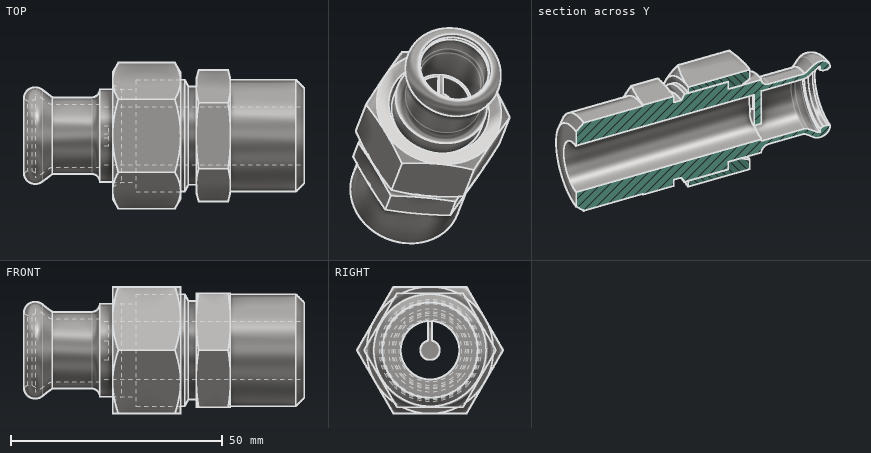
import cadquery as cq
import math


collar_start = 18.0
bore_shoulder = collar_start
nut_start = 21.05
nut_end = 37.1
thread_end = 38.1
hex_start = 40.85
hex_end = 48.95
total_length = 66.4

tube_radius = 9.1
wall = 1.65
tube_bore_radius = tube_radius - wall
bead_centre_radius = 8.75
bead_arc_radius = 2.7
bead_flank_angle = math.radians(37)
bead_rim_angle = math.radians(-90)
flank_blend_radius = 2.0
lip_radius = 8.3
lip_bevel_length = 0.8
lip_width = bead_arc_radius
groove_arc_radius = bead_arc_radius - wall

collar_radius = 11.0
collar_fillet = collar_radius - tube_radius

thread_radius = 13.3
relief_radius = 11.7
relief_slope_end = 39.0
end_chamfer = 2.0
through_bore_radius = 6.9

pin_radius = 2.3
rib_width = 1.0
pin_length = 2.0

nut_flats = 30.0
nut_bevel_angle = 30
body_flats = 27.0
body_bevel_angle = 15

nut_mouth_radius = 12.1
nut_mouth_depth = 2.0
nut_shoulder = 26.55


def revolve_about_x(profile):
    """Turn a closed (x, radius) outline about the X axis."""
    return profile.close().revolve(360, (0, 0, 0), (1, 0, 0))


def cylinder(start, end, radius):
    return cq.Workplane("YZ", origin=(start, 0, 0)).circle(radius).extrude(end - start)


def bevelled_hexagon(start, end, flats, bevel_angle):
    """Hexagonal prism with corners on +Y and -Y, its corners bevelled by a cone at both ends."""
    face_radius = flats / 2
    corner_radius = face_radius / math.cos(math.pi / 6)
    bevel_depth = (corner_radius - face_radius) * math.tan(math.radians(bevel_angle))
    prism = cq.Workplane("YZ", origin=(start, 0, 0)).polygon(6, 2 * corner_radius).extrude(end - start)
    envelope = revolve_about_x(
        cq.Workplane("XY")
        .moveTo(start, 0)
        .lineTo(start, face_radius)
        .lineTo(start + bevel_depth, corner_radius)
        .lineTo(end - bevel_depth, corner_radius)
        .lineTo(end, face_radius)
        .lineTo(end, 0)
    )
    return prism.intersect(envelope)


def bead_point(arc_radius, angle):
    """Point on an arc about the bead centre; the angle runs from the bead's crest toward +X."""
    return (
        bead_arc_radius + arc_radius * math.sin(angle),
        bead_centre_radius + arc_radius * math.cos(angle),
    )


def flank_foot(arc_radius, radius):
    """X where the flank tangent to a bead arc comes down to the given radius."""
    flank_x, flank_radius = bead_point(arc_radius, bead_flank_angle)
    return flank_x + (flank_radius - radius) / math.tan(bead_flank_angle)


def make_turned_body():
    bore_corner = flank_foot(groove_arc_radius, tube_bore_radius)
    blend_reach = flank_blend_radius * math.tan(bead_flank_angle / 2)
    blend_end = bore_corner + blend_reach
    blend_centre_radius = tube_bore_radius + flank_blend_radius

    def blend_point(angle):
        return (
            blend_end - flank_blend_radius * math.sin(angle),
            blend_centre_radius - flank_blend_radius * math.cos(angle),
        )

    fillet_start = collar_start - collar_fillet
    fillet_middle = (
        fillet_start + collar_fillet * math.sin(math.pi / 4),
        collar_radius - collar_fillet * math.cos(math.pi / 4),
    )
    profile = (
        cq.Workplane("XY")
        .moveTo(*bead_point(bead_arc_radius, bead_rim_angle))
        .threePointArc(
            bead_point(bead_arc_radius, 0),
            bead_point(bead_arc_radius, bead_flank_angle),
        )
        .lineTo(flank_foot(bead_arc_radius, tube_radius), tube_radius)
        .lineTo(fillet_start, tube_radius)
        .threePointArc(fillet_middle, (collar_start, collar_radius))
        .lineTo(nut_shoulder, collar_radius)
        .lineTo(nut_shoulder, thread_radius)
        .lineTo(thread_end, thread_radius)
        .lineTo(relief_slope_end, relief_radius)
        .lineTo(hex_end, relief_radius)
        .lineTo(hex_end, thread_radius)
        .lineTo(total_length - end_chamfer, thread_radius)
        .lineTo(total_length, thread_radius - end_chamfer)
        .lineTo(total_length, through_bore_radius)
        .lineTo(bore_shoulder, through_bore_radius)
        .lineTo(bore_shoulder, tube_bore_radius)
        .lineTo(blend_end, tube_bore_radius)
        .threePointArc(blend_point(bead_flank_angle / 2), blend_point(bead_flank_angle))
        .lineTo(*bead_point(groove_arc_radius, bead_flank_angle))
        .threePointArc(
            bead_point(groove_arc_radius, bead_flank_angle / 2),
            bead_point(groove_arc_radius, 0),
        )
        .lineTo(lip_width, bead_centre_radius)
        .lineTo(lip_width - lip_bevel_length, lip_radius)
        .lineTo(lip_bevel_length, lip_radius)
    )
    return revolve_about_x(profile)


def make_stop_pin():
    """Pin on the axis and the rib that hangs it from the top of the bore."""
    pin = cylinder(bore_shoulder, bore_shoulder + pin_length, pin_radius)
    rib_height = (through_bore_radius + tube_bore_radius) / 2
    rib = (
        cq.Workplane("YZ", origin=(bore_shoulder, 0, 0))
        .center(0, rib_height / 2)
        .rect(rib_width, rib_height)
        .extrude(pin_length)
    )
    return pin.union(rib)


def make_fitting():
    body_hexagon = bevelled_hexagon(hex_start, hex_end, body_flats, body_bevel_angle)
    hex_ring = body_hexagon.cut(cylinder(hex_start, hex_end, through_bore_radius))
    return make_turned_body().union(hex_ring).union(make_stop_pin())


def make_nut():
    bore = revolve_about_x(
        cq.Workplane("XY")
        .moveTo(nut_start, 0)
        .lineTo(nut_start, nut_mouth_radius)
        .lineTo(nut_start + nut_mouth_depth, collar_radius)
        .lineTo(nut_shoulder, collar_radius)
        .lineTo(nut_shoulder, thread_radius)
        .lineTo(nut_end, thread_radius)
        .lineTo(nut_end, 0)
    )
    return bevelled_hexagon(nut_start, nut_end, nut_flats, nut_bevel_angle).cut(bore)


fitting = make_fitting()
nut = make_nut()
result = cq.Compound.makeCompound([fitting.val(), nut.val()])